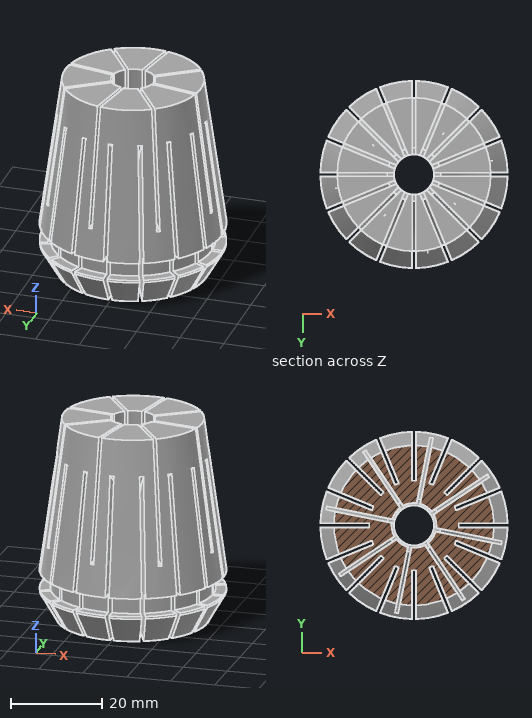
import cadquery as cq
import math

total_height = 46.0
nose_radius = 16.8
collar_radius = 20.45
nose_angle = 30.0
groove_bottom = 6.9
groove_top = 11.05
groove_radius = 18.12
taper_diameter = 41.05
taper_radius = taper_diameter / 2
taper_angle = 8.0

grip_radius = 4.35
relief_radius = 4.88
relief_floor = 30.25

lower_slot_count = 16
lower_slot_width = 0.87
lower_slot_outer_end = 37.9
lower_slot_inner_end = 25.45
lower_saw_radius = 25.75

upper_slot_count = 8
upper_slot_width = 0.75
upper_slot_outer_end = 18.0
upper_slot_inner_end = 30.45
upper_saw_radius = 17.1
upper_slot_first_angle = -180.0 / lower_slot_count

saw_arc_inner_radius = 5.85
slot_outer_radius = taper_radius + 0.45


def taper_radius_at(height):
    """Radius of the long outer taper at a height above the bottom face."""
    return taper_radius - (height - groove_top) * math.tan(math.radians(taper_angle))


def turned_body():
    """Outer shape and stepped bore, revolved about Z."""
    nose_height = (collar_radius - nose_radius) / math.tan(math.radians(nose_angle))
    return (
        cq.Workplane("XZ")
        .moveTo(grip_radius, 0)
        .lineTo(nose_radius, 0)
        .lineTo(collar_radius, nose_height)
        .lineTo(collar_radius, groove_bottom)
        .lineTo(groove_radius, groove_bottom)
        .lineTo(groove_radius, groove_top)
        .lineTo(taper_radius, groove_top)
        .lineTo(taper_radius_at(total_height), total_height)
        .lineTo(relief_radius, total_height)
        .lineTo(relief_radius, relief_floor)
        .lineTo(grip_radius, relief_floor)
        .close()
        .revolve(360, (0, 0), (0, 1))
    )


def lower_slot():
    """Slot along +X, open at the bottom; its curved roof drops towards the bore."""
    return (
        cq.Workplane("XZ")
        .moveTo(0, 0)
        .lineTo(slot_outer_radius, 0)
        .lineTo(slot_outer_radius, lower_slot_outer_end)
        .lineTo(taper_radius_at(lower_slot_outer_end), lower_slot_outer_end)
        .radiusArc((saw_arc_inner_radius, lower_slot_inner_end), -lower_saw_radius)
        .lineTo(0, lower_slot_inner_end)
        .close()
        .extrude(lower_slot_width / 2, both=True)
    )


def upper_slot():
    """Slot along +X, open at the top; its floor rises inwards in an arc, then dips to the bore step."""
    return (
        cq.Workplane("XZ")
        .moveTo(0, total_height)
        .lineTo(slot_outer_radius, total_height)
        .lineTo(slot_outer_radius, upper_slot_outer_end)
        .lineTo(taper_radius_at(upper_slot_outer_end), upper_slot_outer_end)
        .radiusArc((saw_arc_inner_radius, upper_slot_inner_end), upper_saw_radius)
        .lineTo(relief_radius, relief_floor)
        .lineTo(0, relief_floor)
        .close()
        .extrude(upper_slot_width / 2, both=True)
    )


def cut_around(body, slot, count, first_angle):
    """Cut equally spaced copies of a slot around Z."""
    for index in range(count):
        angle = first_angle + index * 360.0 / count
        body = body.cut(slot.rotate((0, 0, 0), (0, 0, 1), angle))
    return body


result = turned_body()
result = cut_around(result, lower_slot(), lower_slot_count, 0.0)
result = cut_around(result, upper_slot(), upper_slot_count, upper_slot_first_angle)